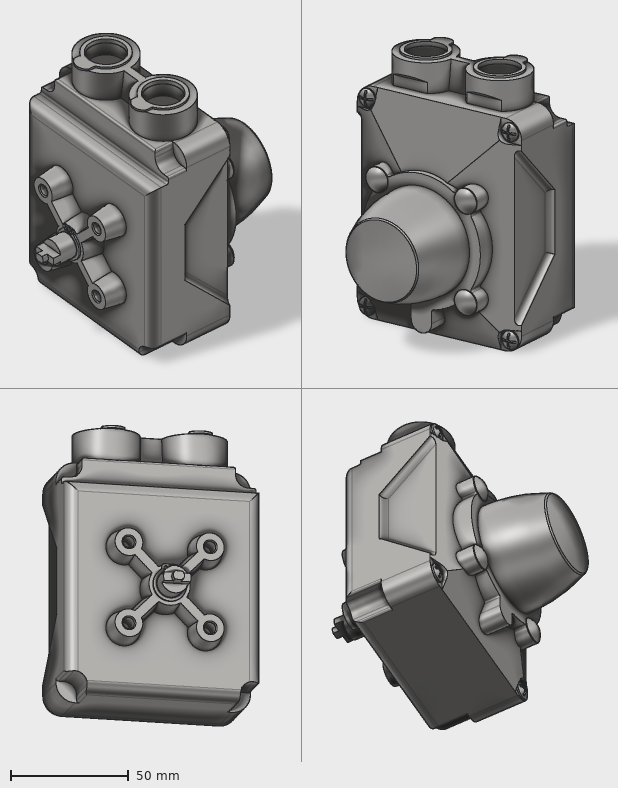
import cadquery as cq
import math


WIDTH = 85.0
HALF_WIDTH = WIDTH / 2
BOTTOM_Z = -46.5
TOP_Z = 58.7
BACK_Y = 42.8
CORNER_RADIUS = 8.3
FRONT_TOP_Z = 46.5
STEP_Y = 9.1
FRONT_FILLET = 5.0
STEP_FILLET = 1.1
MID_Z = (TOP_Z + BOTTOM_Z) / 2

POCKET_SIZE = 9.0
POCKET_FLOOR_Y = 19.1
POCKET_INNER_RADIUS = 5.6
POCKET_LIP = 1.1

FLANGE_Y = 56.2
COVER_SLOPE = 20.0
FLANGE_RADIUS = 30.5
DOME_BOSS_OFFSET = 22.9
DOME_BOSS_DIA = 11.8
DOME_SCREW_DIA = 11.5
DOME_SCREW_RIM = 0.4
DOME_SCREW_HEIGHT = 2.8
FLANGE_FILLET = 1.1
LUG_WIDTH = 10.5
LUG_END_Z = -41.5

RECESS_DEPTH = 3.0
RECESS_FLOOR_FILLET = 2.9
RECESS_FRONT_Y = 18.1
RECESS_FRONT_HEIGHT = 29.3
RECESS_RUNOUT_Y = 54.0

SCREW_INSET = 5.5
SCREW_WELL_RADIUS = 5.0
SCREW_HEAD_DIA = 8.4
SCREW_HEAD_RIM = 0.7
SCREW_HEAD_HEIGHT = 2.4
SCREW_SLOT_WIDTH = 1.0
SCREW_SLOT_DEPTH = 1.1

CROSS_HEIGHT = 10.2
CROSS_DRAFT = 1.5
MOUNT_OFFSET = 17.8
MOUNT_TIP_DIA = 12.1
MOUNT_HOLE_DIA = 4.9
MOUNT_MOUTH_DIA = 6.0
MOUNT_HOLE_DEPTH = 9.6
HUB_TIP_DIA = 18.0
ARM_TIP_WIDTH = 4.1

ENTRY_X = 19.1
ENTRY_Y = 25.5
ENTRY_RADIUS = 14.5
ENTRY_TOP_Z = 72.6
ENTRY_FLAT_Y = 37.0
ENTRY_FLAT_TOP_Z = 63.7
ENTRY_ROOF_RISE = 2.2
ENTRY_BACK_Y = ENTRY_Y + ENTRY_RADIUS
WEB_TOP_WIDTH = 4.0
WEB_ROOT_WIDTH = 6.7

PLUG_TOP_Z = 73.5
PLUG_RIM_DIA = 22.3
PLUG_BARREL_DIA = 20.4
PLUG_MOUTH_DIA = 18.4
PLUG_MOUTH_DEPTH = 2.0
PLUG_BORE_DIA = 18.0
PLUG_BORE_DEPTH = 8.3
PLUG_FLOOR = 1.2
PLUG_TAB_WIDTH = 9.8
PLUG_TAB_SHOULDER_Y = 11.9
PLUG_TAB_TIP_Y = 9.2
PLUG_BOTTOM_Z = PLUG_TOP_Z - PLUG_BORE_DEPTH - PLUG_FLOOR

SHAFT_DIA = 12.0
SHAFT_SHOULDER_Y = -19.9
TONGUE_Y = -24.0
TIP_Y = -26.9
TIP_DIA = 4.9
TONGUE_THICKNESS = 3.7
GROOVE_DIA = 11.5
GROOVE_WIDTH = 1.1
RING_THICKNESS = 0.8
RING_RADIUS = 7.3
RING_EAR_HALF_WIDTH = 3.5
RING_EAR_TOP = 8.9
RING_EAR_CORNER = 0.6
RING_HOLE_DIA = 1.7
RING_HOLE_X = 1.8
RING_HOLE_Z = 7.2
RING_GAP = 1.0

DOME_RADIUS = 24.8
DOME_END_RADIUS = 18.8
DOME_END_Y = 85.2
DOME_CAP_RADIUS = 18.2
DOME_CAP_Y = 85.9
DOME_TOP_Y = 88.1

SIGNS = [(1, 1), (1, -1), (-1, 1), (-1, -1)]
FORWARD = cq.Vector(0, -1, 0)
BACKWARD = cq.Vector(0, 1, 0)


def facing_back(y):
    """Workplane at height y whose normal is +Y (local x is -X, local y is Z)."""
    return cq.Workplane(cq.Plane(origin=(0, y, 0), xDir=(-1, 0, 0), normal=(0, 1, 0)))


def facing_front(y):
    """Workplane at height y whose normal is -Y (local x is X, local y is Z)."""
    return cq.Workplane("XZ", origin=(0, y, 0))


def block(x_range, y_range, z_range):
    """Axis-parallel box between the given limits."""
    size = [high - low for low, high in (x_range, y_range, z_range)]
    corner = (x_range[0], y_range[0], z_range[0])
    return cq.Workplane("XY", origin=corner).box(*size, centered=False)


def y_rod(x, z, y_from, y_to, diameter):
    """Cylinder along Y."""
    return facing_back(y_from).center(-x, z).circle(diameter / 2).extrude(y_to - y_from)


def domed_head(x, z, y, diameter, rim, height):
    """Screw head: a short cylindrical rim under a spherical cap, standing on the plane y."""
    radius = diameter / 2
    cap = height - rim
    sphere_radius = (radius**2 + cap**2) / (2 * cap)
    return (
        cq.Workplane("XY")
        .lineTo(radius, 0)
        .lineTo(radius, rim)
        .radiusArc((0, height), -sphere_radius)
        .close()
        .revolve(360, (0, 0, 0), (0, 1, 0))
        .translate((x, y, z))
    )


def rounded_outline(y_from, y_to):
    """Prism along Y with the rounded outline of the box."""
    limits = block((-HALF_WIDTH, HALF_WIDTH), (y_from, y_to), (BOTTOM_Z, TOP_Z))
    return limits.edges("|Y").fillet(CORNER_RADIUS)


def make_box():
    """Main box with rounded corners, and its raised front with rounded front edges."""
    front = block((-HALF_WIDTH, HALF_WIDTH), (0, POCKET_FLOOR_Y), (BOTTOM_Z, FRONT_TOP_Z))
    front = front.faces("<Y").edges().fillet(FRONT_FILLET)
    rear = (
        cq.Workplane("YZ", origin=(-HALF_WIDTH, 0, 0))
        .moveTo(STEP_Y, BOTTOM_Z)
        .lineTo(BACK_Y, BOTTOM_Z)
        .lineTo(BACK_Y, TOP_Z)
        .lineTo(STEP_Y + STEP_FILLET, TOP_Z)
        .radiusArc((STEP_Y, TOP_Z - STEP_FILLET), -STEP_FILLET)
        .lineTo(STEP_Y, FRONT_TOP_Z + STEP_FILLET)
        .radiusArc((STEP_Y - STEP_FILLET, FRONT_TOP_Z), STEP_FILLET)
        .lineTo(STEP_Y, FRONT_TOP_Z)
        .close()
        .extrude(WIDTH)
    )
    return rear.intersect(rounded_outline(0, BACK_Y)).union(front)


def make_pocket():
    """Cutter for the pocket at the +X, +Z corner: rounded inside, with flared lips."""
    right = HALF_WIDTH
    top = TOP_Z
    inner_x = right - POCKET_SIZE
    inner_z = top - POCKET_SIZE
    margin = 1.2
    return (
        facing_front(POCKET_FLOOR_Y)
        .moveTo(inner_x - POCKET_LIP, top)
        .radiusArc((inner_x, top - POCKET_LIP), POCKET_LIP)
        .lineTo(inner_x, inner_z + POCKET_INNER_RADIUS)
        .radiusArc((inner_x + POCKET_INNER_RADIUS, inner_z), -POCKET_INNER_RADIUS)
        .lineTo(right - POCKET_LIP, inner_z)
        .radiusArc((right, inner_z - POCKET_LIP), POCKET_LIP)
        .lineTo(right + margin, inner_z - POCKET_LIP)
        .lineTo(right + margin, top + margin)
        .lineTo(inner_x - POCKET_LIP, top + margin)
        .close()
        .extrude(POCKET_FLOOR_Y + margin)
    )


def cut_pockets(body):
    pocket = make_pocket()
    other_side = pocket.mirror("YZ")
    for cutter in (pocket, other_side):
        lower = cutter.mirror("XY", (0, 0, MID_Z))
        body = body.cut(cutter).cut(lower)
    return body


def make_cover():
    """Four-sided sloped cover carrying the round flange, its screw bosses and a lug."""
    height = FLANGE_Y - BACK_Y
    slope = (
        facing_back(BACK_Y)
        .center(0, MID_Z)
        .rect(WIDTH, TOP_Z - BOTTOM_Z)
        .extrude(height, taper=90 - COVER_SLOPE)
    )
    slope = slope.intersect(rounded_outline(BACK_Y, FLANGE_Y))
    flange = y_rod(0, 0, BACK_Y, FLANGE_Y, 2 * FLANGE_RADIUS)
    for sx, sz in SIGNS:
        boss = y_rod(sx * DOME_BOSS_OFFSET, sz * DOME_BOSS_OFFSET, BACK_Y, FLANGE_Y, DOME_BOSS_DIA)
        flange = flange.union(boss)
    lug_end = y_rod(0, LUG_END_Z + LUG_WIDTH / 2, BACK_Y, FLANGE_Y, LUG_WIDTH)
    lug_bar = block(
        (-LUG_WIDTH / 2, LUG_WIDTH / 2), (BACK_Y, FLANGE_Y), (LUG_END_Z + LUG_WIDTH / 2, 0)
    )
    flange = flange.union(lug_bar).union(lug_end)
    inner_corners = cq.selectors.BoxSelector(
        (-DOME_BOSS_OFFSET - DOME_BOSS_DIA, BACK_Y, LUG_END_Z + LUG_WIDTH),
        (DOME_BOSS_OFFSET + DOME_BOSS_DIA, FLANGE_Y, DOME_BOSS_OFFSET + DOME_BOSS_DIA),
    )
    flange = flange.edges("|Y").edges(inner_corners).fillet(FLANGE_FILLET)
    cover = slope.union(flange)
    for sx, sz in SIGNS:
        head = domed_head(
            sx * DOME_BOSS_OFFSET,
            sz * DOME_BOSS_OFFSET,
            FLANGE_Y,
            DOME_SCREW_DIA,
            DOME_SCREW_RIM,
            DOME_SCREW_HEIGHT,
        )
        cover = cover.union(head)
    return cover


def make_side_recess():
    """Cutter for the trapezoid recess in the +X side, with a rounded floor edge."""
    half_front = RECESS_FRONT_HEIGHT / 2
    run = RECESS_RUNOUT_Y - RECESS_FRONT_Y
    half_back = half_front + run
    return (
        cq.Workplane("YZ", origin=(HALF_WIDTH - RECESS_DEPTH, 0, 0))
        .moveTo(RECESS_FRONT_Y, MID_Z - half_front)
        .lineTo(RECESS_FRONT_Y, MID_Z + half_front)
        .lineTo(RECESS_RUNOUT_Y, MID_Z + half_back)
        .lineTo(RECESS_RUNOUT_Y, MID_Z - half_back)
        .close()
        .extrude(2 * RECESS_DEPTH)
        .faces("<X")
        .edges()
        .fillet(RECESS_FLOOR_FILLET)
    )


def add_corner_screws(body):
    """Cut a well at each cover corner and stand a cross-slotted screw head in it."""
    x_centre = HALF_WIDTH - SCREW_INSET
    z_centre = (TOP_Z - BOTTOM_Z) / 2 - SCREW_INSET
    top = BACK_Y + SCREW_HEAD_HEIGHT
    well_reach = SCREW_INSET + SCREW_WELL_RADIUS
    for sx, sz in SIGNS:
        x = sx * x_centre
        z = MID_Z + sz * z_centre
        well = (
            facing_back(BACK_Y)
            .center(-x - sx * SCREW_INSET, z + sz * SCREW_INSET)
            .rect(2 * well_reach, 2 * well_reach)
            .extrude(FLANGE_Y - BACK_Y)
            .edges("|Y")
            .fillet(SCREW_WELL_RADIUS)
        )
        head = domed_head(x, z, BACK_Y, SCREW_HEAD_DIA, SCREW_HEAD_RIM, SCREW_HEAD_HEIGHT)
        slot = (
            facing_back(top - SCREW_SLOT_DEPTH)
            .center(-x, z)
            .rect(SCREW_HEAD_DIA, SCREW_SLOT_WIDTH)
            .extrude(SCREW_SLOT_DEPTH)
        )
        cross_slot = slot.rotate((x, 0, z), (x, 1, z), 90)
        body = body.cut(well).union(head.cut(slot).cut(cross_slot))
    return body


def tapered_post(x, z, tip_dia):
    """Round post on the front face that narrows towards its tip."""
    tip_radius = tip_dia / 2
    cone = cq.Solid.makeCone(
        tip_radius + CROSS_DRAFT, tip_radius, CROSS_HEIGHT, cq.Vector(x, 0, z), FORWARD
    )
    return cq.Workplane(obj=cone)


def make_mounting_cross():
    """Central hub, four posts with countersunk holes, and the drafted arms between them."""
    cross = tapered_post(0, 0, HUB_TIP_DIA)
    draft_angle = math.degrees(math.atan(CROSS_DRAFT / CROSS_HEIGHT))
    arm_length = 2 * math.hypot(MOUNT_OFFSET, MOUNT_OFFSET)
    for angle in (45, 135):
        arm = (
            facing_front(0)
            .rect(arm_length, ARM_TIP_WIDTH + 2 * CROSS_DRAFT)
            .extrude(CROSS_HEIGHT, taper=draft_angle)
            .rotate((0, 0, 0), (0, 1, 0), angle)
        )
        cross = cross.union(arm)
    mouth_depth = (MOUNT_MOUTH_DIA - MOUNT_HOLE_DIA) / 2
    for sx, sz in SIGNS:
        x = sx * MOUNT_OFFSET
        z = sz * MOUNT_OFFSET
        hole = y_rod(x, z, -CROSS_HEIGHT, MOUNT_HOLE_DEPTH - CROSS_HEIGHT, MOUNT_HOLE_DIA)
        mouth = cq.Solid.makeCone(
            MOUNT_MOUTH_DIA / 2, MOUNT_HOLE_DIA / 2, mouth_depth, cq.Vector(x, -CROSS_HEIGHT, z), BACKWARD
        )
        cross = cross.union(tapered_post(x, z, MOUNT_TIP_DIA)).cut(hole).cut(cq.Workplane(obj=mouth))
    return cross


def make_cable_entry(x):
    """Cable entry stub with a relieved back."""
    stub = (
        cq.Workplane("XY", origin=(x, ENTRY_Y, TOP_Z))
        .circle(ENTRY_RADIUS)
        .extrude(ENTRY_TOP_Z - TOP_Z)
    )
    relief = (
        cq.Workplane("YZ", origin=(x - ENTRY_RADIUS, 0, 0))
        .moveTo(ENTRY_FLAT_Y, TOP_Z)
        .lineTo(ENTRY_FLAT_Y, ENTRY_FLAT_TOP_Z)
        .lineTo(ENTRY_BACK_Y, ENTRY_FLAT_TOP_Z + ENTRY_ROOF_RISE)
        .lineTo(ENTRY_BACK_Y, TOP_Z)
        .close()
        .extrude(2 * ENTRY_RADIUS)
    )
    return stub.cut(relief)


def make_web():
    """Drafted web joining the two cable entries."""
    return (
        cq.Workplane("YZ", origin=(-ENTRY_X, ENTRY_Y, 0))
        .moveTo(-WEB_ROOT_WIDTH / 2, TOP_Z)
        .lineTo(WEB_ROOT_WIDTH / 2, TOP_Z)
        .lineTo(WEB_TOP_WIDTH / 2, ENTRY_TOP_Z)
        .lineTo(-WEB_TOP_WIDTH / 2, ENTRY_TOP_Z)
        .close()
        .extrude(2 * ENTRY_X)
    )


def make_housing():
    recess = make_side_recess()
    body = cut_pockets(make_box()).union(make_cover())
    body = body.cut(recess).cut(recess.mirror("YZ"))
    body = add_corner_screws(body).union(make_mounting_cross()).union(make_web())
    for x in (-ENTRY_X, ENTRY_X):
        seat = (
            cq.Workplane("XY", origin=(x, ENTRY_Y, PLUG_BOTTOM_Z))
            .circle(PLUG_BARREL_DIA / 2)
            .extrude(ENTRY_TOP_Z - PLUG_BOTTOM_Z)
        )
        body = body.union(make_cable_entry(x)).cut(seat)
    shaft_hole = y_rod(0, 0, -CROSS_HEIGHT, 0, SHAFT_DIA)
    return body.cut(shaft_hole)


def make_plug(x):
    """Cup-shaped plug with a thin rim and a pull tab towards the front."""
    half_tab = PLUG_TAB_WIDTH / 2
    rim_thickness = PLUG_TOP_Z - ENTRY_TOP_Z
    rim = cq.Workplane("XY", origin=(x, ENTRY_Y, ENTRY_TOP_Z)).circle(PLUG_RIM_DIA / 2).extrude(rim_thickness)
    tab = (
        cq.Workplane("XY", origin=(x, 0, ENTRY_TOP_Z))
        .moveTo(-half_tab, ENTRY_Y)
        .lineTo(-half_tab, PLUG_TAB_SHOULDER_Y)
        .threePointArc((0, PLUG_TAB_TIP_Y), (half_tab, PLUG_TAB_SHOULDER_Y))
        .lineTo(half_tab, ENTRY_Y)
        .close()
        .extrude(rim_thickness)
    )
    barrel = (
        cq.Workplane("XY", origin=(x, ENTRY_Y, PLUG_BOTTOM_Z))
        .circle(PLUG_BARREL_DIA / 2)
        .extrude(ENTRY_TOP_Z - PLUG_BOTTOM_Z)
    )
    top = cq.Workplane("XY", origin=(x, ENTRY_Y, PLUG_TOP_Z))
    mouth = top.circle(PLUG_MOUTH_DIA / 2).extrude(-PLUG_MOUTH_DEPTH)
    bore = top.circle(PLUG_BORE_DIA / 2).extrude(-PLUG_BORE_DEPTH)
    return barrel.union(rim).union(tab).cut(mouth).cut(bore)


def make_shaft():
    """Grooved shaft ending in a flat tongue and a narrower tip of the same thickness."""
    groove_back_y = -CROSS_HEIGHT
    groove_front_y = groove_back_y - GROOVE_WIDTH
    half_tongue = TONGUE_THICKNESS / 2
    flats = block((-SHAFT_DIA, SHAFT_DIA), (TIP_Y, 0), (-half_tongue, half_tongue))
    inner = y_rod(0, 0, groove_back_y, 0, SHAFT_DIA)
    groove = y_rod(0, 0, groove_front_y, groove_back_y, GROOVE_DIA)
    outer = y_rod(0, 0, SHAFT_SHOULDER_Y, groove_front_y, SHAFT_DIA)
    tongue = y_rod(0, 0, TONGUE_Y, SHAFT_SHOULDER_Y, SHAFT_DIA).intersect(flats)
    tip = y_rod(0, 0, TIP_Y, TONGUE_Y, TIP_DIA).intersect(flats)
    return inner.union(groove).union(outer).union(tongue).union(tip)


def make_retaining_ring():
    """Open ring in the shaft groove with two drilled ears above the shaft."""
    plane = facing_front(-CROSS_HEIGHT)
    tangent = RING_RADIUS / math.sqrt(2)
    flank_end_z = 2 * tangent - RING_EAR_HALF_WIDTH
    half_ear = [
        (tangent, tangent),
        (RING_EAR_HALF_WIDTH, flank_end_z),
        (RING_EAR_HALF_WIDTH, RING_EAR_TOP - RING_EAR_CORNER),
        (RING_EAR_HALF_WIDTH - RING_EAR_CORNER, RING_EAR_TOP),
    ]
    other_half = [(-x, z) for x, z in reversed(half_ear)]
    disc = plane.circle(RING_RADIUS).extrude(RING_THICKNESS)
    ears = plane.polyline([(0, 0)] + half_ear + other_half).close().extrude(RING_THICKNESS)
    shaft_hole = plane.circle(GROOVE_DIA / 2).extrude(RING_THICKNESS)
    ear_holes = (
        plane.pushPoints([(-RING_HOLE_X, RING_HOLE_Z), (RING_HOLE_X, RING_HOLE_Z)])
        .circle(RING_HOLE_DIA / 2)
        .extrude(RING_THICKNESS)
    )
    gap = plane.center(0, RING_EAR_TOP / 2).rect(RING_GAP, RING_EAR_TOP).extrude(RING_THICKNESS)
    return disc.union(ears).cut(shaft_hole).cut(ear_holes).cut(gap)


def make_dome():
    """Bulged indicator dome, turned about the shaft axis, with a shallow domed end."""
    length = DOME_END_Y - FLANGE_Y
    drop = DOME_RADIUS - DOME_END_RADIUS
    side_radius = (length**2 + drop**2) / (2 * drop)
    mid_y = FLANGE_Y + length / 2
    mid_radius = DOME_RADIUS - side_radius + math.sqrt(side_radius**2 - (length / 2) ** 2)
    rise = DOME_TOP_Y - DOME_CAP_Y
    cap_sphere = (DOME_CAP_RADIUS**2 + rise**2) / (2 * rise)
    cap_mid_radius = DOME_CAP_RADIUS / 2
    cap_mid_y = DOME_TOP_Y - cap_sphere + math.sqrt(cap_sphere**2 - cap_mid_radius**2)
    return (
        cq.Workplane("XY")
        .moveTo(0, FLANGE_Y)
        .lineTo(DOME_RADIUS, FLANGE_Y)
        .threePointArc((mid_radius, mid_y), (DOME_END_RADIUS, DOME_END_Y))
        .lineTo(DOME_CAP_RADIUS, DOME_CAP_Y)
        .threePointArc((cap_mid_radius, cap_mid_y), (0, DOME_TOP_Y))
        .close()
        .revolve(360, (0, 0, 0), (0, 1, 0))
    )


housing = make_housing()
plugs = [make_plug(x) for x in (-ENTRY_X, ENTRY_X)]
shaft = make_shaft()
retaining_ring = make_retaining_ring()
dome = make_dome()

result = cq.Compound.makeCompound(
    [
        housing.val(),
        *[plug.val() for plug in plugs],
        shaft.val(),
        retaining_ring.val(),
        dome.val(),
    ]
)